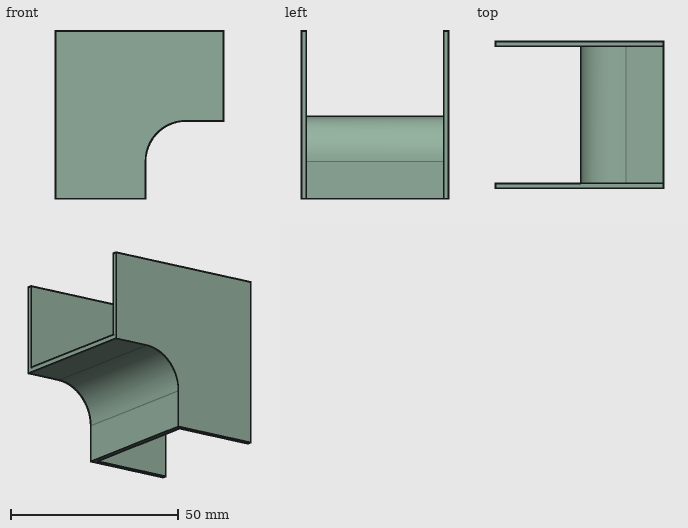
import cadquery as cq

side = 50.3
overall_width = 44.0
wall = 1.5
leg_width = 27.0
inner_radius = 12.0

notch_side = side - leg_width
wall_radius = inner_radius + wall
channel_width = overall_width - 2 * wall


def corner_block(size, radius, depth):
    """Square block at the lower +X corner, rounded on its upper -X edge, centred on Y."""
    return (
        cq.Workplane("XY")
        .box(size, depth, size, centered=(False, True, False))
        .translate((side - size, 0, 0))
        .edges("|Y and <X and >Z")
        .fillet(radius)
    )


def elbow_body():
    """Square block with the rounded notch removed, leaving an L-shaped elbow."""
    block = cq.Workplane("XY").box(side, overall_width, side, centered=(False, True, False))
    return block.cut(corner_block(notch_side, inner_radius, overall_width))


def channel():
    """Space between the side plates, open on the outer faces and bounded by the curved wall."""
    space = cq.Workplane("XY").box(side, channel_width, side, centered=(False, True, False))
    return space.cut(corner_block(notch_side + wall, wall_radius, channel_width))


result = elbow_body().cut(channel())